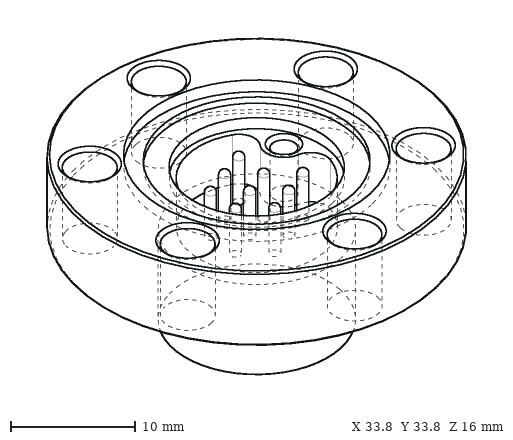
import cadquery as cq
import math

flange_diameter = 33.78
total_height = 16.0
flange_thickness = 7.23
flange_edge_chamfer = 0.2
barrel_diameter = 15.9

mount_hole_count = 6
mount_hole_diameter = 4.43
mount_hole_chamfer = 0.35
mount_circle_radius = 13.5

recess_diameter = 21.45
recess_depth = 1.15
knife_edge_diameter = 18.27
knife_edge_depth = 0.57

inner_floor_depth = 1.18
bore_diameter = 14.12
ledge_depth = 2.25

socket_diameter = 12.97
socket_floor_depth = 7.05
key_radius = 1.93
key_centre_y = 5.35
key_fillet = 1.72
key_hole_diameter = 2.25
key_hole_chamfer = 0.37

pin_diameter = 0.98
pin_top_depth = ledge_depth
pin_column_spacing = 2.85
pin_row_pitch = 2.77


def disc(diameter, top_depth, bottom_depth):
    """Vertical cylinder between two depths below the flange top."""
    height = bottom_depth - top_depth
    return cq.Workplane("XY").workplane(offset=-bottom_depth).circle(diameter / 2).extrude(height)


def chamfered_drill(diameter, chamfer, top_depth, bottom_depth):
    """Drill tool on the Z axis with a 45 degree chamfer at its mouth."""
    radius = diameter / 2
    return (
        cq.Workplane("XZ")
        .moveTo(0, -bottom_depth)
        .lineTo(radius, -bottom_depth)
        .lineTo(radius, -top_depth - chamfer)
        .lineTo(radius + chamfer, -top_depth)
        .lineTo(0, -top_depth)
        .close()
        .revolve(360, (0, 0), (0, 1))
    )


def make_body():
    """Chamfered flange with the barrel below it."""
    flange = disc(flange_diameter, 0, flange_thickness).edges().chamfer(flange_edge_chamfer)
    return flange.union(disc(barrel_diameter, flange_edge_chamfer, total_height))


def make_recess():
    """Recess, knife edge and stepped bore as one revolved cutter."""
    return (
        cq.Workplane("XZ")
        .lineTo(recess_diameter / 2, 0)
        .lineTo(recess_diameter / 2, -recess_depth)
        .lineTo(knife_edge_diameter / 2, -knife_edge_depth)
        .lineTo(knife_edge_diameter / 2, -inner_floor_depth)
        .lineTo(bore_diameter / 2, -inner_floor_depth)
        .lineTo(bore_diameter / 2, -ledge_depth)
        .lineTo(0, -ledge_depth)
        .close()
        .revolve(360, (0, 0), (0, 1))
    )


def make_socket():
    """Round pocket around the key, with rounded corners beside the key."""
    key = disc(2 * key_radius, ledge_depth, socket_floor_depth).translate((0, key_centre_y, 0))
    pocket = disc(socket_diameter, ledge_depth, socket_floor_depth).cut(key)
    corner_y = (socket_diameter**2 / 4 + key_centre_y**2 - key_radius**2) / (2 * key_centre_y)
    corner_x = math.sqrt(socket_diameter**2 / 4 - corner_y**2)
    for side in (-1, 1):
        corner = cq.selectors.NearestToPointSelector(
            (side * corner_x, corner_y, -(ledge_depth + socket_floor_depth) / 2)
        )
        pocket = pocket.edges(corner).fillet(key_fillet)
    return pocket


def make_pin():
    """Pin on the Z axis, rooted in the socket floor."""
    radius = pin_diameter / 2
    dome_depth = pin_top_depth + radius
    root_depth = socket_floor_depth + radius
    dome = cq.Workplane("XY").sphere(radius).translate((0, 0, -dome_depth))
    return disc(pin_diameter, dome_depth, root_depth).union(dome)


def pin_positions():
    """Three columns of three pins; the middle column sits half a pitch lower."""
    rows = (1, 0, -1)
    outer = [(side * pin_column_spacing, row * pin_row_pitch) for side in (-1, 1) for row in rows]
    middle = [(0, (row - 0.5) * pin_row_pitch) for row in rows]
    return outer + middle


result = make_body().cut(make_recess()).cut(make_socket())

mount_drill = chamfered_drill(mount_hole_diameter, mount_hole_chamfer, 0, flange_thickness)
for index in range(mount_hole_count):
    angle = index * 360 / mount_hole_count
    drill = mount_drill.translate((0, mount_circle_radius, 0)).rotate((0, 0, 0), (0, 0, 1), angle)
    result = result.cut(drill)

key_drill = chamfered_drill(key_hole_diameter, key_hole_chamfer, ledge_depth, socket_floor_depth)
result = result.cut(key_drill.translate((0, key_centre_y, 0)))

for x, y in pin_positions():
    result = result.union(make_pin().translate((x, y, 0)))